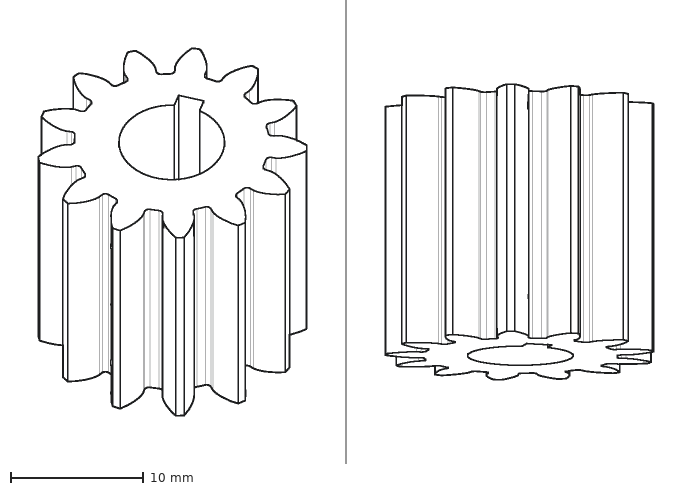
import cadquery as cq
import math

teeth = 13
outer_radius = 10.22
face_width = 19.0
module = 2 * outer_radius / (teeth + 2)
dedendum_factor = 1.1
pitch_radius = module * teeth / 2
root_radius = pitch_radius - dedendum_factor * module
pressure_angle = math.radians(25)
base_radius = pitch_radius * math.cos(pressure_angle)
root_fillet = 0.35
flank_points = 7

bore_radius = 4.0
keyway_width = 2.0
keyway_top = 4.97

tooth_pitch = 2 * math.pi / teeth
tip_roll = math.tan(math.acos(base_radius / outer_radius))
first_tooth_angle = math.pi


def polar(radius, angle):
    return (radius * math.cos(angle), radius * math.sin(angle))


def involute(angle):
    return math.tan(angle) - angle


def half_tooth_angle(radius):
    """Half the angle a tooth covers at a radius on or outside the base circle."""
    local_pressure_angle = math.acos(min(1, base_radius / radius))
    return tooth_pitch / 4 + involute(pressure_angle) - involute(local_pressure_angle)


def flank(centre, side):
    """Involute points from base circle to tip; side is -1 or +1."""
    points = []
    for i in range(flank_points):
        roll = tip_roll * i / (flank_points - 1)
        radius = base_radius * math.hypot(1, roll)
        points.append(polar(radius, centre + side * half_tooth_angle(radius)))
    return points


def gear_blank():
    base_half_angle = half_tooth_angle(base_radius)
    start = polar(root_radius, first_tooth_angle - base_half_angle)
    outline = cq.Workplane("XY").moveTo(*start)
    for i in range(teeth):
        centre = first_tooth_angle + i * tooth_pitch
        rising = flank(centre, -1)
        falling = flank(centre, 1)[::-1]
        rising_angle = centre - base_half_angle
        falling_angle = centre + base_half_angle
        rising_tangents = [polar(1, rising_angle), polar(1, rising_angle + tip_roll)]
        falling_tangents = [polar(-1, falling_angle - tip_roll), polar(-1, falling_angle)]
        outline = outline.lineTo(*rising[0])
        outline = outline.spline(rising[1:], tangents=rising_tangents, includeCurrent=True)
        outline = outline.threePointArc(polar(outer_radius, centre), falling[0])
        outline = outline.spline(falling[1:], tangents=falling_tangents, includeCurrent=True)
        outline = outline.lineTo(*polar(root_radius, falling_angle))
        gap_middle = polar(root_radius, centre + tooth_pitch / 2)
        next_root = start
        if i < teeth - 1:
            next_root = polar(root_radius, centre + tooth_pitch - base_half_angle)
        outline = outline.threePointArc(gap_middle, next_root)
    return outline.close().extrude(face_width)


def round_roots(gear):
    """Round the inner corners where the flanks meet the root circle."""
    inner_limit = (root_radius + base_radius) / 2
    vertical_edges = gear.edges("|Z").vals()
    root_corners = [
        edge for edge in vertical_edges if math.hypot(edge.Center().x, edge.Center().y) < inner_limit
    ]
    return gear.newObject(root_corners).fillet(root_fillet)


bore = cq.Workplane("XY").circle(bore_radius).extrude(face_width)
keyway = cq.Workplane("XY").rect(keyway_width, keyway_top, centered=(True, False)).extrude(face_width)

result = round_roots(gear_blank()).cut(bore).cut(keyway)